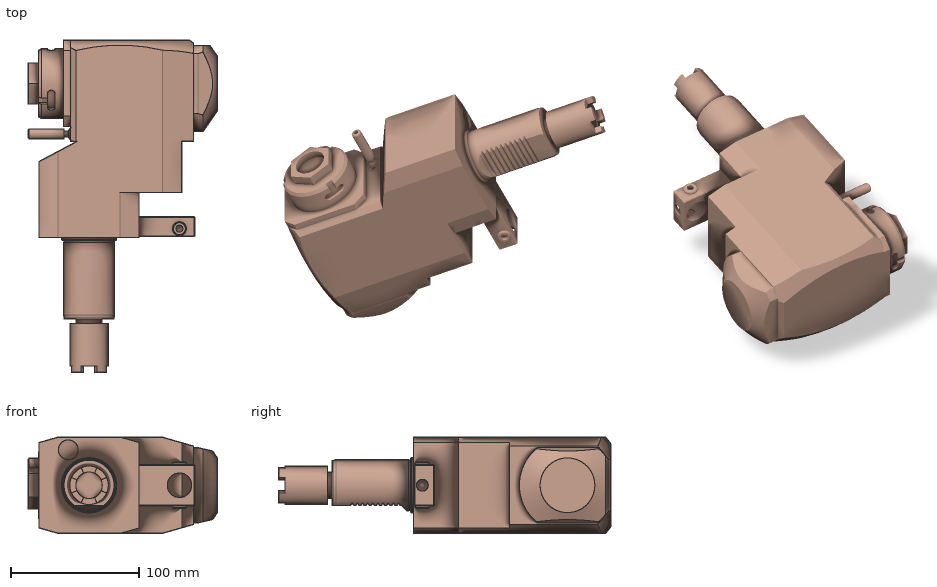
import cadquery as cq
import math


HALF_HEIGHT = 37.5
LOWER_HALF_WIDTH = 39.0
BEVEL_WIDTH = 14.8
BEVEL_ANGLE = 16.0
FOOT_LENGTH = 35.1
HEAD_START = 74.9
HEAD_END = 153.85
NECK_RIGHT = 72.2
HEAD_RIGHT = 81.4
HEAD_BEVEL_START = 57.1
HEAD_LEFT = -14.3
HEAD_LEFT_CHAMFER = 4.2
SHOULDER_LOW_Y = 59.3
SHOULDER_HIGH_X = -9.5
BACK_CONE_RADIUS = 142.0
BACK_CONE_X = 24.0
BACK_CONE_TOP_Y = 149.9
BACK_CONE_SLOPE = 0.75
BACK_CORNER_X = 3.2
BACK_CORNER_Y = 2.4
PLUG_X = -16.2
PLUG_Z = 27.6
PLUG_RADIUS = 7.7
PLUG_DEPTH = 1.5

SPINDLE_Y = 120.0
PLATE_LEFT = -20.0
PLATE_START = 86.4
PLATE_HALF_HEIGHT = HALF_HEIGHT - HEAD_LEFT_CHAMFER
PLATE_CHAMFER = 8.3
NUT_LEFT = -39.5
NUT_RADIUS = 27.4
NUT_CHAMFER_LENGTH = 2.4
NUT_CHAMFER_DEPTH = 1.7
NUT_SLOT_ANGLES = (0, 120, 240)
NUT_SLOT_DEPTH = 3.0
KEYWAY_WIDTH = 5.5
ARC_SLOT_CENTRE_X = -29.4
ARC_SLOT_WIDTH = 5.8
ARC_SLOT_LENGTH = 18.0
HEX_LEFT = -47.5
HEX_ACROSS_FLATS = 32.2
HEX_BORE_RADIUS = 12.0
HEX_BORE_DEPTH = 6.0

NOZZLE_Y = 80.8
NOZZLE_Z = 17.2
NOZZLE_RADIUS = 3.85
NOZZLE_CHAMFER = 0.9
NOZZLE_LEFT = HEX_LEFT
NOZZLE_RIGHT = -19.4
NOZZLE_NECK_RADIUS = 2.4
NOZZLE_BORE_RADIUS = 2.0
NOZZLE_BORE_DEPTH = 6.0
BALL_RADIUS = 6.1
BALL_PROTRUSION = 2.3
SCREW_Z = 10.3
SCREW_RADIUS = 4.7
SCREW_RECESS = 0.5
SCREW_SOCKET_RADIUS = 1.6
SCREW_SOCKET_DEPTH = 2.0

CAP_RADIUS = 37.5
CAP_RIM_RIGHT = 88.7
CAP_RIGHT = 100.0
CAP_END_RADIUS = 21.3
CAP_BACK_Y = 149.8
CAP_FLAT_Z = 29.3
CAP_FLAT_RIGHT = 84.9
CAP_FLAT_ANGLE = 13.0

COLLAR_RADIUS = 21.5
COLLAR_LENGTH = 2.2
COLLAR_CHAMFER = 0.6
SHANK_RADIUS = 20.0
RELIEF_RADIUS = 19.7
RELIEF_LENGTH = 3.8
SHANK_TAPER_START = 60.2
SHANK_TAPER_END = 62.3
SHANK_END_RADIUS = 19.5
SHANK_LENGTH = 63.2
NECK_RADIUS = 10.2
DRIVE_START = 66.8
DRIVE_RADIUS = 15.0
DRIVE_END = 105.0
CLAW_LENGTH = 5.0
CLAW_BORE_RADIUS = 10.3
CLAW_BORE_DEPTH = 6.0
CLAW_SLOT_HALF_ANGLE = 24.0
CLAW_COUNT = 4
RACK_Z = -15.9
RACK_RAMP_START = 5.0
RACK_PITCH = 4.0
RACK_FIRST_GROOVE = 11.6
RACK_GROOVES = 10
RACK_GROOVE_DEPTH = 2.0
RACK_GROOVE_WIDTH = 2.8

ARM_RIGHT = 82.4
ARM_START = 0.8
ARM_END = 16.4
ARM_HALF_HEIGHT = 16.0
ARM_CHAMFER = 0.6
ARM_PORT_X = 70.4
ARM_BORE_RADIUS = 9.5
ARM_SIDE_PORT_RADIUS = 4.6
PORT_Y = 7.0
PORT_BORE_RADIUS = 2.7
PORT_DRILL_END = 14.0
PORT_DRILL_TIP = 12.4
SEAL_RADIUS = 5.4
SEAL_CHAMFER = 0.75
PORT_TOP = 18.0
POCKET_RADIUS = 3.5
POCKET_FLOOR = 10.4

BEVEL_DROP = math.tan(math.radians(BEVEL_ANGLE))


def mirrored_section(upper_points, start_y, end_y):
    """Prism along Y whose XZ section is the given upper edge and its mirror image below Z = 0."""
    lower_points = [(x, -z) for x, z in reversed(upper_points)]
    section = cq.Workplane("XZ", origin=(0, start_y, 0)).polyline(upper_points + lower_points).close()
    return section.extrude(start_y - end_y)


def cylinder_x(start_x, end_x, radius, y, z=0.0):
    return cq.Workplane("YZ", origin=(start_x, y, z)).circle(radius).extrude(end_x - start_x)


def turned_about_y(profile):
    """Revolve (radius, distance in front of the mounting face) points about the shank axis."""
    points = [(radius, -distance) for radius, distance in profile]
    return cq.Workplane("XY").polyline(points).close().revolve(360, (0, 0, 0), (0, 1, 0))


def turned_about_spindle(profile):
    """Revolve (x, radius) points about the spindle axis."""
    turned = cq.Workplane("XY").polyline(profile).close().revolve(360, (0, 0, 0), (1, 0, 0))
    return turned.translate((0, SPINDLE_Y, 0))


def bevel_z(x, start_x):
    """Height of a housing bevel at x, for a bevel that begins at start_x."""
    return HALF_HEIGHT - abs(x - start_x) * BEVEL_DROP


def make_housing():
    left_bevel = -LOWER_HALF_WIDTH + BEVEL_WIDTH
    right_bevel = LOWER_HALF_WIDTH - BEVEL_WIDTH
    left_edge = [
        (-LOWER_HALF_WIDTH, bevel_z(-LOWER_HALF_WIDTH, left_bevel)),
        (left_bevel, HALF_HEIGHT),
    ]
    foot_edge = left_edge + [
        (right_bevel, HALF_HEIGHT),
        (LOWER_HALF_WIDTH, bevel_z(LOWER_HALF_WIDTH, right_bevel)),
    ]
    neck_edge = left_edge + [
        (HEAD_BEVEL_START, HALF_HEIGHT),
        (NECK_RIGHT, bevel_z(NECK_RIGHT, HEAD_BEVEL_START)),
    ]
    head_edge = [
        (HEAD_LEFT, HALF_HEIGHT - HEAD_LEFT_CHAMFER),
        (HEAD_LEFT + HEAD_LEFT_CHAMFER, HALF_HEIGHT),
        (HEAD_BEVEL_START, HALF_HEIGHT),
        (HEAD_RIGHT, bevel_z(HEAD_RIGHT, HEAD_BEVEL_START)),
    ]
    lower = mirrored_section(foot_edge, 0, FOOT_LENGTH)
    lower = lower.union(mirrored_section(neck_edge, FOOT_LENGTH, HEAD_START))
    shoulder = (
        cq.Workplane("XY")
        .polyline([
            (-LOWER_HALF_WIDTH, SHOULDER_LOW_Y),
            (SHOULDER_HIGH_X, HEAD_START),
            (-LOWER_HALF_WIDTH, HEAD_START),
        ])
        .close()
        .extrude(HALF_HEIGHT, both=True)
    )
    head = mirrored_section(head_edge, HEAD_START, HEAD_END).intersect(make_back_cone())
    corner = (
        cq.Workplane("XY")
        .polyline([
            (HEAD_RIGHT, HEAD_END),
            (HEAD_RIGHT - BACK_CORNER_X, HEAD_END),
            (HEAD_RIGHT, HEAD_END - BACK_CORNER_Y),
        ])
        .close()
        .extrude(HALF_HEIGHT, both=True)
    )
    plug_recess = cq.Workplane("XZ", origin=(PLUG_X, 0, PLUG_Z)).circle(PLUG_RADIUS).extrude(-PLUG_DEPTH)
    return lower.cut(shoulder).union(head.cut(corner)).cut(plug_recess)


def make_back_cone():
    """Pair of opposed cones about a Z axis that chamfer the back of the head in an arc."""
    waist_radius = BACK_CONE_RADIUS + HALF_HEIGHT * BACK_CONE_SLOPE
    axis_y = BACK_CONE_TOP_Y - BACK_CONE_RADIUS
    profile = [
        (0, -HALF_HEIGHT),
        (BACK_CONE_RADIUS, -HALF_HEIGHT),
        (waist_radius, 0),
        (BACK_CONE_RADIUS, HALF_HEIGHT),
        (0, HALF_HEIGHT),
    ]
    plane = cq.Workplane("XZ", origin=(BACK_CONE_X, axis_y, 0))
    return plane.polyline(profile).close().revolve(360, (0, 0, 0), (0, 1, 0))


def make_plate():
    thickness = HEAD_LEFT - PLATE_LEFT
    plate = cq.Workplane("XY").box(
        thickness, HEAD_END - PLATE_START, 2 * PLATE_HALF_HEIGHT, centered=(False, False, True)
    )
    return plate.edges("|X").chamfer(PLATE_CHAMFER).translate((PLATE_LEFT, PLATE_START, 0))


def make_nut():
    profile = [
        (NUT_LEFT, 0),
        (NUT_LEFT, NUT_RADIUS - NUT_CHAMFER_DEPTH),
        (NUT_LEFT + NUT_CHAMFER_LENGTH, NUT_RADIUS),
        (PLATE_LEFT, NUT_RADIUS),
        (PLATE_LEFT, 0),
    ]
    nut = turned_about_spindle(profile)
    slot_floor = NUT_RADIUS - NUT_SLOT_DEPTH
    keyway = cq.Workplane("XY").box(
        ARC_SLOT_CENTRE_X - NUT_LEFT, NUT_RADIUS, KEYWAY_WIDTH, centered=(False, False, True)
    )
    keyway = keyway.translate((NUT_LEFT, SPINDLE_Y + slot_floor, 0))
    arc_slot = (
        cq.Workplane("XZ", origin=(ARC_SLOT_CENTRE_X, SPINDLE_Y + NUT_RADIUS, 0))
        .slot2D(ARC_SLOT_LENGTH, ARC_SLOT_WIDTH, 90)
        .extrude(NUT_RADIUS / 2)
    )
    arc_slot = arc_slot.cut(cylinder_x(NUT_LEFT, PLATE_LEFT, slot_floor, SPINDLE_Y))
    spanner_slot = keyway.union(arc_slot)
    for angle in NUT_SLOT_ANGLES:
        nut = nut.cut(spanner_slot.rotate((0, SPINDLE_Y, 0), (1, SPINDLE_Y, 0), angle))
    return nut


def make_hex():
    across_corners = HEX_ACROSS_FLATS / math.cos(math.pi / 6)
    hexagon = (
        cq.Workplane("YZ", origin=(HEX_LEFT, SPINDLE_Y, 0))
        .transformed(rotate=(0, 0, 90))
        .polygon(6, across_corners)
        .extrude(NUT_LEFT - HEX_LEFT)
    )
    return hexagon.cut(cylinder_x(HEX_LEFT, HEX_LEFT + HEX_BORE_DEPTH, HEX_BORE_RADIUS, SPINDLE_Y))


def make_nozzle():
    barrel = cylinder_x(NOZZLE_LEFT, NOZZLE_RIGHT, NOZZLE_RADIUS, NOZZLE_Y, NOZZLE_Z)
    barrel = barrel.faces("<X").chamfer(NOZZLE_CHAMFER)
    neck = cylinder_x(NOZZLE_RIGHT, HEAD_LEFT, NOZZLE_NECK_RADIUS, NOZZLE_Y, NOZZLE_Z)
    ball_x = HEAD_LEFT - BALL_PROTRUSION + BALL_RADIUS
    ball = cq.Workplane("XY").sphere(BALL_RADIUS).translate((ball_x, NOZZLE_Y, NOZZLE_Z))
    bore_end = NOZZLE_LEFT + NOZZLE_BORE_DEPTH
    bore = cylinder_x(NOZZLE_LEFT, bore_end, NOZZLE_BORE_RADIUS, NOZZLE_Y, NOZZLE_Z)
    return barrel.union(neck).union(ball).cut(bore)


def make_screw_recess():
    recess_end = HEAD_LEFT + SCREW_RECESS
    recess = cylinder_x(HEAD_LEFT, recess_end, SCREW_RADIUS, NOZZLE_Y, SCREW_Z)
    socket_end = recess_end + SCREW_SOCKET_DEPTH
    return recess.union(cylinder_x(HEAD_LEFT, socket_end, SCREW_SOCKET_RADIUS, NOZZLE_Y, SCREW_Z))


def make_cap():
    """Turned cap on the spindle axis with a tapered end, cut by a back flat and two sloping sides."""
    profile = [
        (HEAD_RIGHT, 0),
        (HEAD_RIGHT, CAP_RADIUS),
        (CAP_RIM_RIGHT, CAP_RADIUS),
        (CAP_RIGHT, CAP_END_RADIUS),
        (CAP_RIGHT, 0),
    ]
    turned = turned_about_spindle(profile)
    end_z = CAP_FLAT_Z - (CAP_RIGHT - CAP_FLAT_RIGHT) * math.tan(math.radians(CAP_FLAT_ANGLE))
    edge = [(HEAD_RIGHT, CAP_FLAT_Z), (CAP_FLAT_RIGHT, CAP_FLAT_Z), (CAP_RIGHT, end_z)]
    return turned.intersect(mirrored_section(edge, SPINDLE_Y - CAP_RADIUS, CAP_BACK_Y))


def make_shank():
    shank = turned_about_y([
        (0, 0),
        (RELIEF_RADIUS, 0),
        (RELIEF_RADIUS, RELIEF_LENGTH),
        (SHANK_RADIUS, RELIEF_LENGTH),
        (SHANK_RADIUS, SHANK_TAPER_START),
        (SHANK_END_RADIUS, SHANK_TAPER_END),
        (SHANK_END_RADIUS, SHANK_LENGTH),
        (0, SHANK_LENGTH),
    ])
    shank = shank.cut(make_rack_cutter())
    collar = turned_about_y([
        (0, 0),
        (COLLAR_RADIUS, 0),
        (COLLAR_RADIUS, COLLAR_LENGTH - COLLAR_CHAMFER),
        (COLLAR_RADIUS - COLLAR_CHAMFER, COLLAR_LENGTH),
        (0, COLLAR_LENGTH),
    ])
    return shank.union(collar)


def make_rack_cutter():
    """Flat with a 45 degree run-in along the underside of the shank, and its row of vee grooves."""
    bottom_z = -SHANK_RADIUS
    depth = RACK_Z - bottom_z
    sketch = cq.Workplane("YZ", origin=(-SHANK_RADIUS, 0, 0))
    cutter = (
        sketch.polyline([
            (-RACK_RAMP_START, bottom_z),
            (-RACK_RAMP_START - depth, RACK_Z),
            (-SHANK_LENGTH, RACK_Z),
            (-SHANK_LENGTH, bottom_z),
        ])
        .close()
        .extrude(2 * SHANK_RADIUS)
    )
    for index in range(RACK_GROOVES):
        centre_y = -(RACK_FIRST_GROOVE + index * RACK_PITCH)
        groove = (
            sketch.polyline([
                (centre_y - RACK_GROOVE_WIDTH / 2, RACK_Z),
                (centre_y, RACK_Z + RACK_GROOVE_DEPTH),
                (centre_y + RACK_GROOVE_WIDTH / 2, RACK_Z),
            ])
            .close()
            .extrude(2 * SHANK_RADIUS)
        )
        cutter = cutter.union(groove)
    return cutter


def make_drive():
    """Neck and claw coupling at the free end of the shank."""
    neck = turned_about_y([
        (0, SHANK_LENGTH),
        (NECK_RADIUS, SHANK_LENGTH),
        (NECK_RADIUS, DRIVE_START),
        (0, DRIVE_START),
    ])
    drive = turned_about_y([
        (0, DRIVE_START),
        (DRIVE_RADIUS, DRIVE_START),
        (DRIVE_RADIUS, DRIVE_END),
        (0, DRIVE_END),
    ])
    bore = cq.Workplane("XZ", origin=(0, -DRIVE_END, 0)).circle(CLAW_BORE_RADIUS).extrude(-CLAW_BORE_DEPTH)
    drive = drive.cut(bore)
    reach = 2 * DRIVE_RADIUS
    side = reach * math.tan(math.radians(CLAW_SLOT_HALF_ANGLE))
    slot = (
        cq.Workplane("XZ", origin=(0, -DRIVE_END, 0))
        .polyline([(0, 0), (-side, reach), (side, reach)])
        .close()
        .extrude(-CLAW_LENGTH)
    )
    for index in range(CLAW_COUNT):
        drive = drive.cut(slot.rotate((0, 0, 0), (0, 1, 0), index * 360 / CLAW_COUNT))
    return neck.union(drive)


def make_arm():
    """Coolant arm with a cross bore, a port in its end, and a sealed blind port above and below."""
    block = cq.Workplane("XY").box(
        ARM_RIGHT - LOWER_HALF_WIDTH, ARM_END - ARM_START, 2 * ARM_HALF_HEIGHT, centered=(False, False, True)
    )
    block = block.edges("not <X").chamfer(ARM_CHAMFER).translate((LOWER_HALF_WIDTH, ARM_START, 0))
    seal = cq.Workplane("XY").circle(SEAL_RADIUS).extrude(PORT_TOP, both=True)
    seal = seal.faces("<Z or >Z").chamfer(SEAL_CHAMFER)
    pockets = cq.Workplane("XY").circle(POCKET_RADIUS).extrude(POCKET_FLOOR, both=True)
    drilling = (
        cq.Workplane("XZ")
        .polyline([
            (0, PORT_TOP),
            (PORT_BORE_RADIUS, PORT_TOP),
            (PORT_BORE_RADIUS, PORT_DRILL_END),
            (0, PORT_DRILL_TIP),
        ])
        .close()
        .revolve(360, (0, 0, 0), (0, 1, 0))
    )
    ports = pockets.union(drilling).union(drilling.mirror("XY"))
    port_axis = (ARM_PORT_X, PORT_Y, 0)
    arm = block.union(seal.translate(port_axis)).cut(ports.translate(port_axis))
    cross_bore = cq.Workplane("XZ", origin=(ARM_PORT_X, 0, 0)).circle(ARM_BORE_RADIUS).extrude(-ARM_END)
    return arm.cut(cross_bore).cut(cylinder_x(ARM_PORT_X, ARM_RIGHT, ARM_SIDE_PORT_RADIUS, PORT_Y))


result = make_housing()
for component in (make_plate(), make_nut(), make_hex()):
    result = result.union(component)
result = result.cut(make_screw_recess())
for component in (make_nozzle(), make_cap(), make_shank(), make_drive(), make_arm()):
    result = result.union(component)